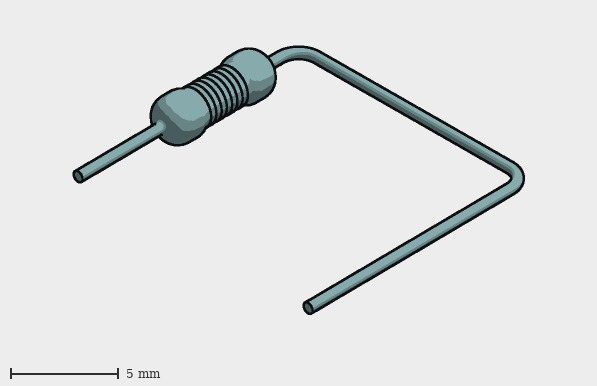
import cadquery as cq
import math


overall_length = 16.55
overall_depth = 14.9
wire_diameter = 0.6
bend_radius = 1.2

cap_diameter = 2.5
waist_diameter = 2.12
band_diameter = 2.15
body_middle_y = 8.95
cap_outer_edge = 2.52
cap_inner_edge = 1.92
dome_end = 3.41
collar_end = 3.65
collar_diameter = 1.0

band_count = 4
band_width = 0.35
band_pitch = 2 * band_width
waist_end = ((band_count - 1) * band_pitch + band_width) / 2

wire_radius = wire_diameter / 2
cap_radius = cap_diameter / 2
waist_radius = waist_diameter / 2
collar_radius = collar_diameter / 2
lead_spacing = overall_length - cap_radius - wire_radius
crossbar_y = overall_depth - wire_radius


def tangent_arc_middle(start, end):
    """Middle of an arc that leaves start parallel to the body axis and reaches end."""
    across = end[0] - start[0]
    along = end[1] - start[1]
    radius = (across**2 + along**2) / (2 * abs(across))
    half_angle = math.atan2(abs(across), abs(along))
    middle_x = start[0] + math.copysign(radius * (1 - math.cos(half_angle)), across)
    middle_y = start[1] + math.copysign(radius * math.sin(half_angle), along)
    return (middle_x, middle_y)


def make_cap():
    """Revolved cap on the +Y end of the waist, with its shoulder, dome and collar."""
    waist_edge = (waist_radius, waist_end)
    shoulder = ((waist_radius + cap_radius) / 2, (waist_end + cap_inner_edge) / 2)
    cap_inner = (cap_radius, cap_inner_edge)
    cap_outer = (cap_radius, cap_outer_edge)
    dome_tip = (collar_radius, dome_end)
    collar_tip = (wire_radius, collar_end)
    return (
        cq.Workplane("XY")
        .moveTo(0, waist_end)
        .lineTo(*waist_edge)
        .threePointArc(tangent_arc_middle(waist_edge, shoulder), shoulder)
        .threePointArc(tangent_arc_middle(cap_inner, shoulder), cap_inner)
        .lineTo(*cap_outer)
        .threePointArc(tangent_arc_middle(cap_outer, dome_tip), dome_tip)
        .threePointArc(tangent_arc_middle(collar_tip, dome_tip), collar_tip)
        .lineTo(0, collar_end)
        .close()
        .revolve(360, (0, 0, 0), (0, 1, 0))
    )


def axial_cylinder(diameter, length, middle_y):
    """Cylinder along the body axis, centred on middle_y."""
    end_y = middle_y + length / 2
    return cq.Workplane("XZ", origin=(0, end_y, 0)).circle(diameter / 2).extrude(length)


def make_body():
    """Waisted body with domed caps and raised colour bands."""
    cap = make_cap()
    body = axial_cylinder(waist_diameter, 2 * waist_end, 0).union(cap).union(cap.mirror("XZ"))
    for index in range(band_count):
        band_y = (index - (band_count - 1) / 2) * band_pitch
        body = body.union(axial_cylinder(band_diameter, band_width, band_y))
    return body.translate((0, body_middle_y, 0))


def make_wire():
    """Round wire through the body, across the top and back down to Y = 0."""
    bend_start_y = crossbar_y - bend_radius
    path = (
        cq.Workplane("XY")
        .lineTo(0, bend_start_y)
        .tangentArcPoint((bend_radius, crossbar_y), relative=False)
        .lineTo(lead_spacing - bend_radius, crossbar_y)
        .tangentArcPoint((lead_spacing, bend_start_y), relative=False)
        .lineTo(lead_spacing, 0)
    )
    return cq.Workplane("XZ").circle(wire_radius).sweep(path)


result = make_body().union(make_wire())